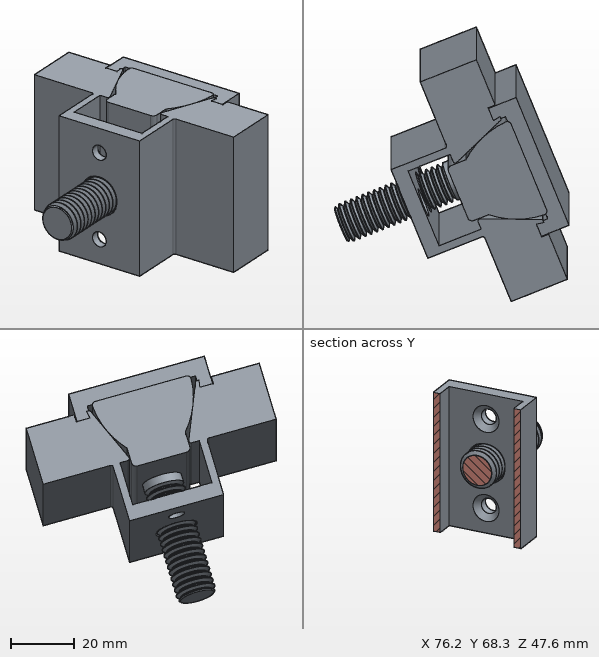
import cadquery as cq
import math


width = 76.2
height = 47.6
wing_depth = 19.05
channel_front = -2 * wing_depth
channel_half_width = 15.4
channel_side_wall = 2.45
channel_front_wall = 4.8
channel_root_fillet = 0.7
jaw_back_half_width = 17.3
jaw_angle = math.radians(22.5)
jaw_tip_fillet = 0.7

bolt_hole_diameter = 13.5
side_hole_diameter = 5.2
side_hole_offset = 15.25
countersink_diameter = 9.15
countersink_depth = 1.9

cover_back = 7.0
cover_half_width = 22.2
cover_inner_face = 1.6
cover_inner_half_width = 17.7
lip_depth = 2.4
lip_gap = 0.2
hook_top_half_width = 18.4
hook_base_half_width = 18.0

wedge_back = 2.4
wedge_front = -21.6
wedge_neck_half_width = 9.5
wedge_bulge_radius = 27.0
wedge_contact_y = -7.7
wedge_back_fillet = 1.3
wedge_front_fillet = 1.45

bolt_diameter = width / 6
bolt_shank_length = 2.6
thread_length = 37.1
thread_count = 19
thread_depth = 1.2
thread_half_angle = math.radians(30)
bolt_end_radius = 5.5

cavity_half_width = channel_half_width - channel_side_wall
cavity_front = channel_front + channel_front_wall
jaw_front_half_width = jaw_back_half_width - wing_depth * math.tan(jaw_angle)

contact_half_width = jaw_back_half_width + wedge_contact_y * math.tan(jaw_angle)
bulge_center_x = contact_half_width - wedge_bulge_radius * math.cos(jaw_angle)
bulge_center_y = wedge_contact_y + wedge_bulge_radius * math.sin(jaw_angle)
bulge_back_half_width = bulge_center_x + math.sqrt(
    wedge_bulge_radius**2 - (wedge_back - bulge_center_y) ** 2
)
bulge_front_y = bulge_center_y - math.sqrt(
    wedge_bulge_radius**2 - (wedge_neck_half_width - bulge_center_x) ** 2
)


def mirrored(points):
    """Close a right-hand outline with its mirror image in the YZ plane."""
    return points + [(-x, y) for x, y in reversed(points)]


def full_height(sketch):
    """Extrude an XY outline over the full height, centred on Z = 0."""
    return sketch.extrude(height / 2, both=True)


def prism(points):
    return full_height(cq.Workplane("XY").polyline(points).close())


def edges_along_z(body, x, y):
    """Pick the two vertical edges at (x, y) and (-x, y)."""
    tolerance = 0.01

    def at_place(edge):
        center = edge.Center()
        return abs(abs(center.x) - x) < tolerance and abs(center.y - y) < tolerance

    return body.edges("|Z").filter(at_place)


def front_hole(diameter, z):
    """Cutter along Y through the front wall of the channel."""
    return (
        cq.Workplane("XZ", origin=(0, channel_front, z))
        .circle(diameter / 2)
        .extrude(-channel_front_wall)
    )


def inner_countersink(z):
    """Cone cutter that opens a side hole towards the channel cavity."""
    return (
        cq.Workplane("XZ", origin=(0, cavity_front, z))
        .circle(countersink_diameter / 2)
        .workplane(offset=countersink_depth)
        .circle(side_hole_diameter / 2)
        .loft(ruled=True)
    )


def make_lip_groove():
    """Right-hand dovetail groove in the back of the wing."""
    outer = cover_half_width + lip_gap
    return prism(
        [
            (outer, 0),
            (outer, -lip_depth),
            (hook_base_half_width, -lip_depth),
            (hook_top_half_width, 0),
        ]
    )


def make_housing():
    body = prism(
        mirrored(
            [
                (channel_half_width, channel_front),
                (channel_half_width, -wing_depth),
                (width / 2, -wing_depth),
                (width / 2, 0),
                (jaw_back_half_width, 0),
                (jaw_front_half_width, -wing_depth),
                (cavity_half_width, -wing_depth),
                (cavity_half_width, cavity_front),
            ]
        )
    )
    body = edges_along_z(body, channel_half_width, -wing_depth).fillet(channel_root_fillet)
    body = edges_along_z(body, jaw_front_half_width, -wing_depth).fillet(jaw_tip_fillet)

    groove = make_lip_groove()
    body = body.cut(groove).cut(groove.mirror("YZ"))

    body = body.cut(front_hole(bolt_hole_diameter, 0))
    for z in (-side_hole_offset, side_hole_offset):
        body = body.cut(front_hole(side_hole_diameter, z)).cut(inner_countersink(z))
    return body


def make_wedge():
    body = full_height(
        cq.Workplane("XY")
        .moveTo(-wedge_neck_half_width, wedge_front)
        .lineTo(wedge_neck_half_width, wedge_front)
        .lineTo(wedge_neck_half_width, bulge_front_y)
        .threePointArc((contact_half_width, wedge_contact_y), (bulge_back_half_width, wedge_back))
        .lineTo(-bulge_back_half_width, wedge_back)
        .threePointArc((-contact_half_width, wedge_contact_y), (-wedge_neck_half_width, bulge_front_y))
        .close()
    )
    body = edges_along_z(body, bulge_back_half_width, wedge_back).fillet(wedge_back_fillet)
    body = edges_along_z(body, wedge_neck_half_width, wedge_front).fillet(wedge_front_fillet)
    return body


def make_cover(wedge):
    body = prism(
        mirrored(
            [
                (cover_half_width, cover_back),
                (cover_half_width, -lip_depth),
                (hook_base_half_width, -lip_depth),
                (hook_top_half_width, 0),
                (cover_inner_half_width, 0),
                (cover_inner_half_width, cover_inner_face),
            ]
        )
    )
    return body.cut(wedge)


def make_bolt():
    """Revolve the bolt about Y; the thread is a row of separate V-shaped rings."""
    radius = bolt_diameter / 2
    root_radius = radius - thread_depth
    pitch = thread_length / thread_count
    crest_half_flat = pitch / 16
    flank_width = thread_depth * math.tan(thread_half_angle)
    thread_start = wedge_front - bolt_shank_length
    bolt_end = thread_start - thread_length

    profile = [(0, wedge_front), (radius, wedge_front)]
    for index in range(thread_count):
        ring_back = thread_start - index * pitch - crest_half_flat
        ring_front = thread_start - (index + 1) * pitch + crest_half_flat
        profile += [
            (radius, ring_back),
            (root_radius, ring_back - flank_width),
            (root_radius, ring_front + flank_width),
            (radius, ring_front),
        ]
    profile += [(radius, bolt_end), (0, bolt_end)]
    body = cq.Workplane("XY").polyline(profile).close().revolve(360, (0, 0), (0, 1))

    end_cone_length = radius - bolt_end_radius
    end_trim = (
        cq.Workplane("XY")
        .polyline(
            [
                (bolt_end_radius, bolt_end),
                (radius, bolt_end + end_cone_length),
                (radius + end_cone_length, bolt_end + end_cone_length),
                (radius + end_cone_length, bolt_end),
            ]
        )
        .close()
        .revolve(360, (0, 0), (0, 1))
    )
    return body.cut(end_trim)


housing = make_housing()
wedge = make_wedge()
cover = make_cover(wedge)
bolt = make_bolt()

result = cq.Compound.makeCompound([housing.val(), cover.val(), wedge.val(), bolt.val()])